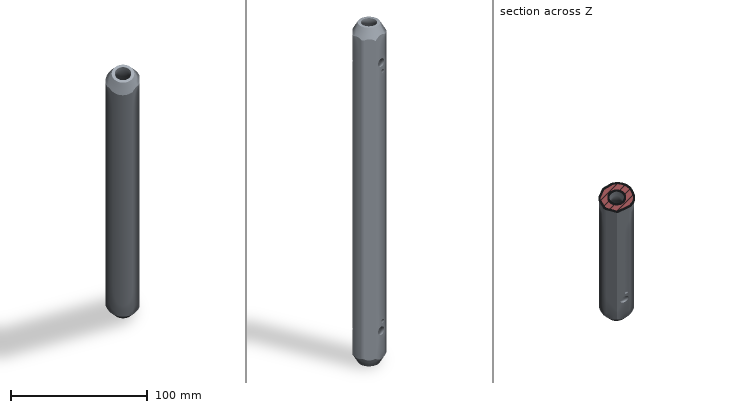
import cadquery as cq
import math

length = 285.0
bore_radius = 6.0
end_radius = 8.3
end_cone_angle = 30.0
cone_base_radius = 14.2

flat_low = (-12.35, 0.45)
flat_high = (-9.55, 8.18)
cross_hole_radius = 3.5
cross_hole_height = 113.0
pin_hole_radius = 1.5
pin_hole_height = 105.2
pin_hole_offset = 1.7

far_hole_radius = 0.9
far_hole_angle = 40.0


def make_body():
    """Extrude the irregular outline of flats and shallow bulges."""
    outline = (
        cq.Workplane("XY")
        .workplane(offset=-length / 2)
        .moveTo(*flat_high)
        .lineTo(*flat_low)
        .threePointArc((-12.45, -0.9), (-12.35, -2.15))
        .threePointArc((-11.17, -6.5), (-8.18, -9.85))
        .lineTo(-3.9, -12.23)
        .threePointArc((2.8, -12.95), (10.72, -7.0))
        .lineTo(12.35, -0.45)
        .lineTo(12.35, 1.5)
        .lineTo(9.7, 8.3)
        .lineTo(8.5, 9.83)
        .lineTo(0.9, 13.0)
        .lineTo(-0.9, 13.0)
        .lineTo(-8.98, 9.83)
        .close()
    )
    return outline.extrude(length)


def make_end_envelope():
    """Revolved limit shape that trims both ends to cones."""
    cone_height = (cone_base_radius - end_radius) / math.tan(math.radians(end_cone_angle))
    half = length / 2
    shoulder = half - cone_height
    return (
        cq.Workplane("XZ")
        .moveTo(0, -half)
        .lineTo(end_radius, -half)
        .lineTo(cone_base_radius, -shoulder)
        .lineTo(cone_base_radius, shoulder)
        .lineTo(end_radius, half)
        .lineTo(0, half)
        .close()
        .revolve(360, (0, 0), (0, 1))
    )


def make_side_hole(radius, height, offset):
    """Drill from outside the flat to the middle of the bore, square to the flat."""
    run_x = flat_high[0] - flat_low[0]
    run_y = flat_high[1] - flat_low[1]
    flat_width = math.hypot(run_x, run_y)
    outward = cq.Vector(-run_y / flat_width, run_x / flat_width, 0)
    along_flat = cq.Vector(run_x / flat_width, run_y / flat_width, 0)
    start = along_flat * -offset + cq.Vector(0, 0, height)
    return cq.Workplane(cq.Solid.makeCylinder(radius, cone_base_radius, start, outward))


def make_far_hole(height):
    """Drill radially through the wall behind a cross hole."""
    angle = math.radians(far_hole_angle)
    outward = cq.Vector(math.cos(angle), math.sin(angle), 0)
    start = cq.Vector(0, 0, height)
    return cq.Workplane(cq.Solid.makeCylinder(far_hole_radius, cone_base_radius, start, outward))


result = make_body().intersect(make_end_envelope())
result = result.cut(cq.Workplane("XY").circle(bore_radius).extrude(length / 2, both=True))

for end in (-1, 1):
    result = result.cut(make_side_hole(cross_hole_radius, end * cross_hole_height, 0))
    result = result.cut(make_side_hole(pin_hole_radius, end * pin_hole_height, pin_hole_offset))
    result = result.cut(make_far_hole(end * cross_hole_height))